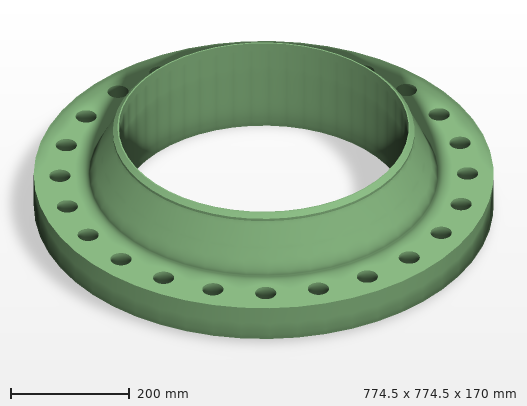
import cadquery as cq

flange_diameter = 774.5
flange_thickness = 63.5
face_diameter = 637.0
face_height = 9.0

total_height = 170.0
hub_base_diameter = 588.5
neck_diameter = 508.0
neck_length = 5.0
bore_diameter = 488.0
bevel_height = 8.0
land_width = 2.0
hub_fillet_radius = 3.0

bolt_count = 24
bolt_circle_diameter = 686.0
bolt_hole_diameter = 36.0

flange_top = face_height + flange_thickness
bevel_start = total_height - bevel_height
neck_start = bevel_start - neck_length
bore_radius = bore_diameter / 2
neck_radius = neck_diameter / 2
land_radius = bore_radius + land_width


def make_flange():
    """Round disc standing on the raised sealing face."""
    face = cq.Workplane("XY").circle(face_diameter / 2).extrude(flange_top)
    disc = (
        cq.Workplane("XY", origin=(0, 0, face_height))
        .circle(flange_diameter / 2)
        .extrude(flange_thickness)
    )
    return face.union(disc)


def make_hub():
    """Cone, short straight neck and weld bevel, revolved about Z."""
    return (
        cq.Workplane("XZ")
        .moveTo(0, face_height)
        .lineTo(hub_base_diameter / 2, face_height)
        .lineTo(hub_base_diameter / 2, flange_top)
        .lineTo(neck_radius, neck_start)
        .lineTo(neck_radius, bevel_start)
        .lineTo(land_radius, total_height)
        .lineTo(0, total_height)
        .close()
        .revolve(360, (0, 0, 0), (0, 1, 0))
    )


def round_hub_base(body):
    """Fillet the circle where the hub cone meets the flange."""
    reach = bolt_circle_diameter / 2
    margin = hub_fillet_radius / 2
    base_edge = cq.selectors.BoxSelector(
        (-reach, -reach, flange_top - margin),
        (reach, reach, flange_top + margin),
        boundingbox=True,
    )
    return body.edges(base_edge).fillet(hub_fillet_radius)


def make_bolt_holes():
    """Ring of through-hole cutters, the first on the X axis."""
    return (
        cq.Workplane("XY")
        .polarArray(bolt_circle_diameter / 2, 0, 360, bolt_count)
        .circle(bolt_hole_diameter / 2)
        .extrude(total_height)
    )


bore = cq.Workplane("XY").circle(bore_radius).extrude(total_height)

body = round_hub_base(make_flange().union(make_hub()))
result = body.cut(bore).cut(make_bolt_holes())